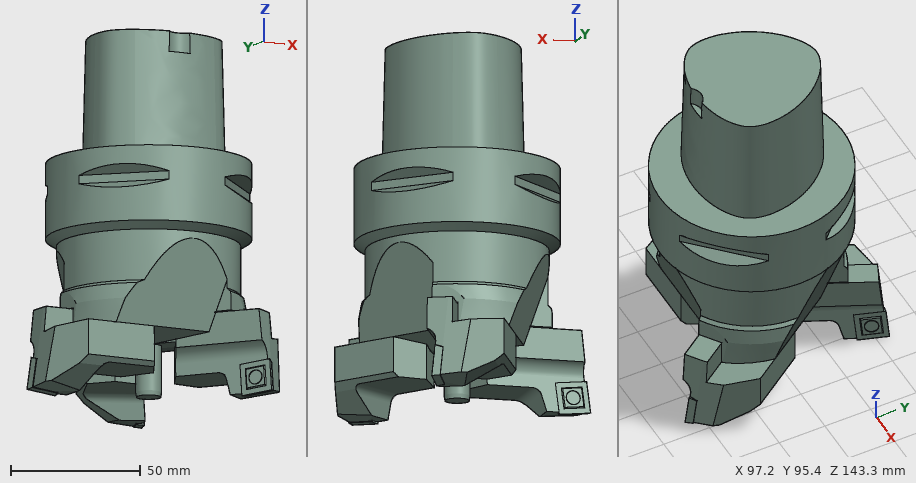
import cadquery as cq
import math


SLIDE_ANGLES = [180.0, 305.0, 425.0]

FAR = 286.4

SHANK_LENGTH = 48.3
SHANK_RADIUS = 27.6
SHANK_ECCENTRICITY = 2.0
SHANK_TAPER = 1 / 40
LOBE_ANGLES = [90, 210, 330]
LOBE_PITCH = 120
LOBE_HALF_ANGLE = 32
POINTS_PER_FACE = 7
NOTCH_DEPTH = 8.2
NOTCH_RADIUS = 5.9
NOTCH_FLOOR = 22.0

FLANGE_RADIUS = 40.03
FLANGE_BOTTOM = -29.6
SLOT_ANGLES = [45, 135, 225, 315]
SLOT_Z = -11.7
SLOT_FLOOR_HEIGHT = 3.3
SLOT_MOUTH_HEIGHT = 9.2

NECK_RADIUS = 35.73
NECK_TOP = -32.4
NECK_BOTTOM = -52.4
COLLAR_TOP = -53.7
COLLAR_TOP_RADIUS = 37.1
COLLAR_EDGE = -59.9
COLLAR_EDGE_RADIUS = 38.2
COLLAR_BOTTOM = -71.7
COLLAR_BOTTOM_RADIUS = 37.8
COLLAR_FLAT = 37.2

NOZZLE_RADIUS = 5.0
NOZZLE_TIP_RADIUS = 4.7
NOZZLE_TIP_START = -90.1
NOZZLE_BOTTOM = -91.8

RAKE_Y = -3.9
KEY_Y = 6.0
BACK_Y = 24.9
KEY_TOP = -61.6
SEAT_BACK_Z = -69.0
SEAT_KEY_Z = COLLAR_BOTTOM
CHAMFER_TOP = -82.9
CHAMFER_SIZE = 3.3
HEEL_Y = 8.5
SLIDE_BOTTOM = -94.1
GROOVE_TOP = -74.0
GROOVE_BOTTOM = -79.8
KEY_TOP_GAP = 0.5
KEY_SIDE_GAP = 0.1

WEB_BOTTOM = -84.8
WEB_END = 33.0
LEG_INNER = 35.7
WEB_FILLET = 4.0
OUTER_TOP = 49.1
SHOULDER_Y = 13.2
SHOULDER_X = OUTER_TOP
REAR_CORNER_X = 40.8
TIP_X = 5.0
TIP_Y = 12.6
INNER_BACK_X = 11.6
INNER_RAKE_X = 13.6
RELIEF_POINT = (51.34, 3.2, -83.3)
RELIEF_NORMAL = (1, 0.1, 0.096)
SOLE_POINT = (52.5, 1.7, -93.1)
SOLE_NORMAL = (0.105, 0.13, -1)

LEAD_ANGLE = 6.0
AXIAL_RAKE = 4.8
INSERT_SIDE = 12.7
INSERT_THICKNESS = 3.2
INSERT_CLEARANCE = 11.0
INSERT_X = 46.4
INSERT_Y = -1.0
LOWEST_Z = -95.0
INSERT_Z = LOWEST_Z + (
    INSERT_SIDE / 2
    * (math.cos(math.radians(LEAD_ANGLE)) + math.sin(math.radians(LEAD_ANGLE)))
    * math.cos(math.radians(AXIAL_RAKE))
)
ISLAND_SIDE = 8.5
ISLAND_HEIGHT = 0.5
EYE_DIAMETER = 5.6
EYE_DEPTH = 0.3

FLUTE_LEAN = 17.7


def turned(body, angle):
    return body.rotate((0, 0, 0), (0, 0, 1), angle)


def block_beyond(point, normal):
    """Large block filling the space on the normal's side of a plane."""
    return cq.Workplane(cq.Plane(point, normal=normal)).rect(FAR, FAR).extrude(FAR)


def polygon_curve(radius, z, start, end):
    """Stretch of a three-lobed curve of constant width, between two directions of its normal."""
    points = []
    tangents = []
    for i in range(POINTS_PER_FACE):
        angle = math.radians(start + (end - start) * i / (POINTS_PER_FACE - 1))
        reach = radius - SHANK_ECCENTRICITY * math.sin(3 * angle)
        slope = -3 * SHANK_ECCENTRICITY * math.cos(3 * angle)
        x = reach * math.cos(angle) - slope * math.sin(angle)
        y = reach * math.sin(angle) + slope * math.cos(angle)
        points.append(cq.Vector(x, y, z))
        tangents.append(cq.Vector(-math.sin(angle), math.cos(angle), 0))
    return cq.Edge.makeSpline(points, [tangents[0], tangents[-1]])


def polygon_wire(radius, z):
    """Closed three-lobed curve with one lobe towards +Y."""
    curves = []
    for lobe in LOBE_ANGLES:
        lobe_end = lobe + LOBE_HALF_ANGLE
        next_lobe_start = lobe + LOBE_PITCH - LOBE_HALF_ANGLE
        curves.append(polygon_curve(radius, z, lobe - LOBE_HALF_ANGLE, lobe_end))
        curves.append(polygon_curve(radius, z, lobe_end, next_lobe_start))
    return cq.Wire.assembleEdges(curves)


def make_shank():
    top_radius = SHANK_RADIUS - SHANK_LENGTH * SHANK_TAPER
    wires = [polygon_wire(SHANK_RADIUS, 0), polygon_wire(top_radius, SHANK_LENGTH)]
    shank = cq.Workplane(cq.Solid.makeLoft(wires, True))
    notch = (
        cq.Workplane("XY", origin=(0, -NOTCH_FLOOR - NOTCH_RADIUS, SHANK_LENGTH - NOTCH_DEPTH))
        .circle(NOTCH_RADIUS)
        .extrude(NOTCH_DEPTH)
    )
    return shank.cut(notch)


def make_turned_core():
    """Flange, neck, collar and nozzle as one revolved profile."""
    profile = [
        (0, 0),
        (FLANGE_RADIUS, 0),
        (FLANGE_RADIUS, FLANGE_BOTTOM),
        (NECK_RADIUS, NECK_TOP),
        (NECK_RADIUS, NECK_BOTTOM),
        (COLLAR_TOP_RADIUS, COLLAR_TOP),
        (COLLAR_EDGE_RADIUS, COLLAR_EDGE),
        (COLLAR_BOTTOM_RADIUS, COLLAR_BOTTOM),
        (NOZZLE_RADIUS, COLLAR_BOTTOM),
        (NOZZLE_RADIUS, NOZZLE_TIP_START),
        (NOZZLE_TIP_RADIUS, NOZZLE_BOTTOM),
        (0, NOZZLE_BOTTOM),
    ]
    return cq.Workplane("XZ").polyline(profile).close().revolve(360, (0, 0, 0), (0, 1, 0))


def make_gripper_slot():
    """Straight V-sided slot across the +X side of the flange."""
    profile = [
        (NECK_RADIUS, SLOT_Z - SLOT_FLOOR_HEIGHT / 2),
        (NECK_RADIUS, SLOT_Z + SLOT_FLOOR_HEIGHT / 2),
        (FLANGE_RADIUS, SLOT_Z + SLOT_MOUTH_HEIGHT / 2),
        (FLANGE_RADIUS, SLOT_Z - SLOT_MOUTH_HEIGHT / 2),
    ]
    return cq.Workplane("XZ").polyline(profile).close().extrude(FLANGE_RADIUS, both=True)


def make_slide_plan():
    """Outline of a slide seen along the axis, as a tall prism open towards the outer end."""
    shoulder_slope = (SHOULDER_X - REAR_CORNER_X) / (BACK_Y - SHOULDER_Y)
    outline = [
        (INNER_RAKE_X, RAKE_Y),
        (TIP_X, TIP_Y),
        (INNER_BACK_X, BACK_Y),
        (REAR_CORNER_X, BACK_Y),
        (REAR_CORNER_X + shoulder_slope * (BACK_Y - RAKE_Y), RAKE_Y),
    ]
    return cq.Workplane("XY", origin=(0, 0, -FAR / 2)).polyline(outline).close().extrude(FAR)


def lower_rake_y(z):
    """Y of the lower rake face, which lies flush with the insert face."""
    return INSERT_Y + (z - INSERT_Z) * math.tan(math.radians(AXIAL_RAKE))


def make_slide_section():
    """Cross-section of a slide, extruded along the radius."""
    return (
        cq.Workplane("YZ")
        .moveTo(RAKE_Y, KEY_TOP)
        .lineTo(KEY_Y, KEY_TOP)
        .lineTo(KEY_Y, SEAT_KEY_Z)
        .lineTo(BACK_Y, SEAT_BACK_Z)
        .lineTo(BACK_Y, CHAMFER_TOP)
        .lineTo(BACK_Y - CHAMFER_SIZE, CHAMFER_TOP - CHAMFER_SIZE)
        .lineTo(HEEL_Y, SLIDE_BOTTOM)
        .lineTo(lower_rake_y(SLIDE_BOTTOM), SLIDE_BOTTOM)
        .lineTo(lower_rake_y(GROOVE_BOTTOM), GROOVE_BOTTOM)
        .tangentArcPoint((RAKE_Y, GROOVE_TOP), relative=False)
        .close()
        .extrude(FAR)
    )


def make_slide_profile():
    """Side outline of a slide with its web, leg and leaning outer end."""
    outer_bottom = OUTER_TOP + (KEY_TOP - SLIDE_BOTTOM) * math.tan(math.radians(LEAD_ANGLE))
    outline = [
        (0, KEY_TOP),
        (OUTER_TOP, KEY_TOP),
        (outer_bottom, SLIDE_BOTTOM),
        (LEG_INNER, SLIDE_BOTTOM),
        (WEB_END, WEB_BOTTOM),
        (0, WEB_BOTTOM),
    ]
    profile = cq.Workplane("XZ").polyline(outline).close().extrude(FAR, both=True)
    web_corner = cq.selectors.NearestToPointSelector((WEB_END, 0, WEB_BOTTOM))
    return profile.edges("|Y").edges(web_corner).fillet(WEB_FILLET)


def insert_plane():
    """Plane of the insert face, facing out of the insert."""
    lead = math.radians(LEAD_ANGLE)
    rake = math.radians(AXIAL_RAKE)
    normal = (0, -math.cos(rake), math.sin(rake))
    along_edge = (math.cos(lead), math.sin(lead) * math.sin(rake), math.sin(lead) * math.cos(rake))
    return cq.Plane((INSERT_X, INSERT_Y, INSERT_Z), along_edge, normal)


def square_frustum(base_side, top_side, offset):
    """Square frustum from the insert face to a parallel plane at the given offset."""
    base = cq.Workplane(insert_plane()).rect(base_side, base_side)
    return base.workplane(offset=offset).rect(top_side, top_side).loft(ruled=True)


def make_insert():
    """Square insert with relieved flanks, a raised island and a shallow round recess."""
    back_side = INSERT_SIDE - 2 * INSERT_THICKNESS * math.tan(math.radians(INSERT_CLEARANCE))
    plate = square_frustum(INSERT_SIDE, back_side, -INSERT_THICKNESS)
    island = square_frustum(ISLAND_SIDE, ISLAND_SIDE - 2 * ISLAND_HEIGHT, ISLAND_HEIGHT)
    eye_plane = cq.Workplane(insert_plane()).workplane(offset=ISLAND_HEIGHT)
    eye = eye_plane.circle(EYE_DIAMETER / 2).extrude(-EYE_DEPTH)
    return plate.union(island).cut(eye)


def make_slide(insert):
    slide = make_slide_section().intersect(make_slide_profile()).intersect(make_slide_plan())
    slide = slide.cut(block_beyond(RELIEF_POINT, RELIEF_NORMAL))
    slide = slide.cut(block_beyond(SOLE_POINT, SOLE_NORMAL))
    return slide.cut(insert)


def make_key_slot():
    """Slot in the collar for the key of a slide, with a small gap above and behind it."""
    width = KEY_Y + KEY_SIDE_GAP - RAKE_Y
    top = KEY_TOP + KEY_TOP_GAP
    slot = cq.Workplane("XY", origin=(0, RAKE_Y, top - FAR)).box(FAR, width, FAR, centered=False)
    return slot.intersect(make_slide_plan())


def make_seat(space_before_next_rake):
    """Space under the sloping seat plane, from a slide to the rake plane of the next one."""
    slope = (SEAT_BACK_Z - SEAT_KEY_Z) / (BACK_Y - KEY_Y)
    below_seat = block_beyond((0, KEY_Y, SEAT_KEY_Z), (0, slope, -1))
    behind_key = block_beyond((0, KEY_Y, 0), (0, 1, 0))
    return below_seat.intersect(behind_key).intersect(space_before_next_rake)


def make_flute(space_before_next_rake):
    """Chip space behind a slide, ending at the rake plane of the next one."""
    lean = math.radians(FLUTE_LEAN)
    outside = block_beyond((0, BACK_Y, SEAT_BACK_Z), (0, math.cos(lean), -math.sin(lean)))
    below_flange = block_beyond((0, 0, NECK_TOP), (0, 0, -1))
    return outside.intersect(space_before_next_rake).intersect(below_flange)


def make_holder():
    holder = make_turned_core().union(make_shank())
    for angle in SLOT_ANGLES:
        holder = holder.cut(turned(make_gripper_slot(), angle))
    before_rake = block_beyond((0, RAKE_Y, 0), (0, -1, 0))
    collar_flat = block_beyond((COLLAR_FLAT, 0, 0), (1, 0, 0)).intersect(
        block_beyond((0, 0, COLLAR_TOP), (0, 0, -1))
    )
    for i, angle in enumerate(SLIDE_ANGLES):
        next_angle = SLIDE_ANGLES[(i + 1) % len(SLIDE_ANGLES)]
        before_next = turned(before_rake, next_angle - angle)
        for space in (make_flute(before_next), make_seat(before_next), make_key_slot(), collar_flat):
            holder = holder.cut(turned(space, angle))
    return holder


holder = make_holder()
insert = make_insert()
slide = make_slide(insert)
slides = [turned(slide, angle).val() for angle in SLIDE_ANGLES]
inserts = [turned(insert, angle).val() for angle in SLIDE_ANGLES]

result = cq.Compound.makeCompound([holder.val(), *slides, *inserts])